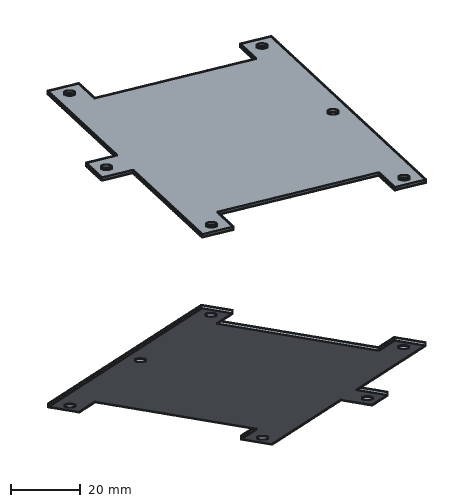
import cadquery as cq

thickness = 1.0
overall_width = 97.0
plate_depth = 72.0
tab_size = 10.0
hole_diameter = 3.2
hole_edge_distance = 4.0

body_width = overall_width - 2 * tab_size
side_hole_x = overall_width / 2 - hole_edge_distance
hole_row_y = plate_depth / 2 - tab_size / 2
front_tab_y = -plate_depth / 2 - tab_size / 2
front_hole_y = -plate_depth / 2 - tab_size + hole_edge_distance


def slab(width, depth, x=0.0, y=0.0):
    """Flat rectangle of plate thickness, centred at (x, y)."""
    return cq.Workplane("XY").center(x, y).rect(width, depth).extrude(thickness)


def plate():
    """Body with a full-width strip along each end and one tab at the front."""
    strip_y = (plate_depth - tab_size) / 2
    outline = slab(body_width, plate_depth)
    for y in (-strip_y, strip_y):
        outline = outline.union(slab(overall_width, tab_size, y=y))
    return outline.union(slab(tab_size, tab_size, y=front_tab_y)).clean()


def hole_cutters():
    """Mounting holes: four in the corner tabs, two on the centreline."""
    corners = [(x, y) for x in (-side_hole_x, side_hole_x) for y in (-hole_row_y, hole_row_y)]
    centreline = [(0.0, hole_row_y), (0.0, front_hole_y)]
    return cq.Workplane("XY").pushPoints(corners + centreline).circle(hole_diameter / 2).extrude(thickness)


result = plate().cut(hole_cutters())